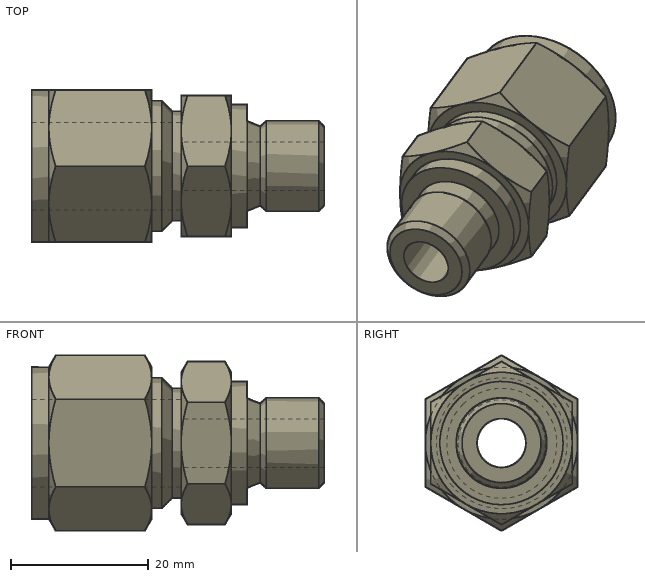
import cadquery as cq
import math


nut_start = 2.5
nut_end = 17.5
shoulder_end = 18.95
neck_start = 20.5
body_hex_start = 21.8
body_hex_end = 29.12
flange_end = 31.43
relief_end = 33.35
thread_end = 42.7

nut_across_flats = 22.2
body_hex_across_flats = 20.62
collar_diameter = nut_across_flats
shoulder_diameter = 19.1
neck_diameter = 16.05
flange_diameter = 17.98
relief_large_diameter = 13.15
relief_small_diameter = 11.6
thread_diameter = 13.25
thread_chamfer = 0.85
relief_chamfer_length = 0.9

tube_bore_diameter = 12.72
through_bore_diameter = 7.1
tube_bore_depth = body_hex_start

hex_half_angle = 30.0
hex_chamfer_angle = 30.0


def revolve_about_x(points):
    """Turn an (axial station, radius) outline about the X axis."""
    return cq.Workplane("XY").polyline(points).close().revolve(360, (0, 0, 0), (1, 0, 0))


def cylinder_along_x(start, end, diameter):
    return cq.Workplane("YZ").workplane(offset=start).circle(diameter / 2).extrude(end - start)


def chamfered_hex(start, end, across_flats):
    """Hex bar with two corners on the Z axis and both ends turned down to the flats."""
    flat_radius = across_flats / 2
    corner_radius = flat_radius / math.cos(math.radians(hex_half_angle))
    chamfer_length = (corner_radius - flat_radius) * math.tan(math.radians(hex_chamfer_angle))
    prism = (
        cq.Workplane("YZ")
        .workplane(offset=start)
        .polygon(6, 2 * corner_radius)
        .extrude(end - start)
        .rotate((0, 0, 0), (1, 0, 0), 90)
    )
    turned_envelope = revolve_about_x([
        (start, 0),
        (start, flat_radius),
        (start + chamfer_length, corner_radius),
        (end - chamfer_length, corner_radius),
        (end, flat_radius),
        (end, 0),
    ])
    return prism.intersect(turned_envelope)


def turned_body():
    """Round sections from the nut's end face to the tip of the spigot."""
    thread_radius = thread_diameter / 2
    return revolve_about_x([
        (nut_end, 0),
        (nut_end, shoulder_diameter / 2),
        (shoulder_end, shoulder_diameter / 2),
        (neck_start, neck_diameter / 2),
        (body_hex_end, neck_diameter / 2),
        (body_hex_end, flange_diameter / 2),
        (flange_end, flange_diameter / 2),
        (flange_end, relief_large_diameter / 2),
        (relief_end, relief_small_diameter / 2),
        (relief_end + relief_chamfer_length, thread_radius),
        (thread_end - thread_chamfer, thread_radius),
        (thread_end, thread_radius - thread_chamfer),
        (thread_end, 0),
    ])


collar = cylinder_along_x(0, nut_start, collar_diameter)
nut = chamfered_hex(nut_start, nut_end, nut_across_flats)
body_hex = chamfered_hex(body_hex_start, body_hex_end, body_hex_across_flats)
tube_bore = cylinder_along_x(0, tube_bore_depth, tube_bore_diameter)
through_bore = cylinder_along_x(0, thread_end, through_bore_diameter)

result = collar.union(nut).union(turned_body()).union(body_hex).cut(tube_bore).cut(through_bore)